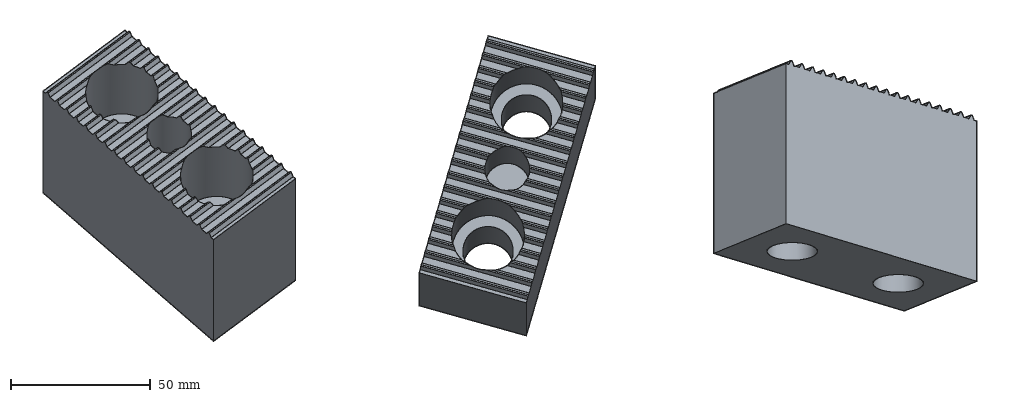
import cadquery as cq

length = 90.0
width = 40.0
height = 63.0

tooth_count = 18
tooth_pitch = length / tooth_count
tooth_height = 1.7
tooth_base_width = 2.5
tooth_crest_width = 0.5
body_height = height - tooth_height

bolt_spacing = 10 * tooth_pitch
bolt_diameter = 18.0
counterbore_diameter = 26.0
counterbore_depth = height / 2

center_hole_diameter = 16.0
center_hole_depth = height / 2


def make_body():
    """Plain block centred in X and Y, standing on Z = 0."""
    return cq.Workplane("XY").box(length, width, body_height, centered=(True, True, False))


def make_tooth(center_x):
    """One trapezoidal tooth on top of the block, centred at the given X."""
    half_base = tooth_base_width / 2
    half_crest = tooth_crest_width / 2
    return (
        cq.Workplane("XZ")
        .moveTo(center_x - half_base, body_height)
        .lineTo(center_x - half_crest, height)
        .lineTo(center_x + half_crest, height)
        .lineTo(center_x + half_base, body_height)
        .close()
        .extrude(width / 2, both=True)
    )


def make_bore(center_x, diameter, depth):
    """Round cutter reaching down from the tooth crests to the given depth."""
    return (
        cq.Workplane("XY", origin=(center_x, 0, height - depth))
        .circle(diameter / 2)
        .extrude(depth)
    )


result = make_body()

first_tooth_x = (tooth_pitch - length) / 2
for index in range(tooth_count):
    result = result.union(make_tooth(first_tooth_x + index * tooth_pitch))

for bolt_x in (-bolt_spacing / 2, bolt_spacing / 2):
    result = result.cut(make_bore(bolt_x, bolt_diameter, height))
    result = result.cut(make_bore(bolt_x, counterbore_diameter, counterbore_depth))

result = result.cut(make_bore(0, center_hole_diameter, center_hole_depth))